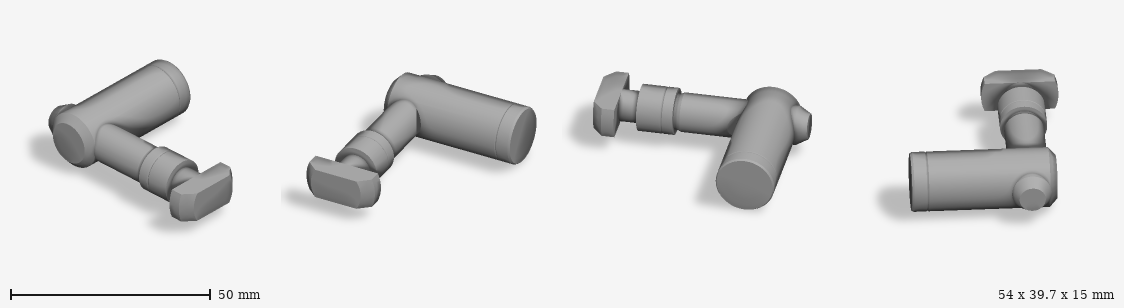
import cadquery as cq


sleeve_radius = 7.5
sleeve_front = -6.6
sleeve_back = 30.0
nose_chamfer_length = 1.9
nose_chamfer_depth = 2.0
back_chamfer_length = 0.55
back_chamfer_depth = 0.3
sleeve_groove_offset = 3.7

groove_width = 0.55
groove_depth = 0.2

pin_length = 54.0
free_end_to_sleeve_axis = 10.25
shank_diameter = 10.0
shank_radius = shank_diameter / 2
tip_radius = 3.3
tip_length = 2.95
shank_end = 32.3
shoulder_end = 33.4
undercut_radius = 4.5
undercut_end = 33.6
collar_root_radius = 4.6
collar_start = 33.95
collar_groove_start = 36.6
collar_end = 43.2
collar_radius = 5.95
neck_radius = 4.05

head_start = 48.1
head_radius = 9.7
head_chamfer = 2.65
head_thickness = 2 * neck_radius

relief_mouth = 9.85
relief_run = 4.4
relief_depth = 2.25


def make_revolved_pin():
    """Round pin body with full-disc head, turned about the X axis."""
    groove_end = collar_groove_start + groove_width
    groove_radius = collar_radius - groove_depth
    profile = [
        (0, 0),
        (0, tip_radius),
        (tip_length, shank_radius),
        (shank_end, shank_radius),
        (shoulder_end, undercut_radius),
        (undercut_end, undercut_radius),
        (collar_start, collar_root_radius),
        (collar_start, collar_radius),
        (collar_groove_start, collar_radius),
        (collar_groove_start + groove_width / 2, groove_radius),
        (groove_end, collar_radius),
        (collar_end, collar_radius),
        (collar_end, neck_radius),
        (head_start, neck_radius),
        (head_start, head_radius),
        (pin_length - head_chamfer, head_radius),
        (pin_length, head_radius - head_chamfer),
        (pin_length, 0),
    ]
    turned = cq.Workplane("XY").polyline(profile).close().revolve(360, (0, 0, 0), (1, 0, 0))
    return turned.translate((-free_end_to_sleeve_axis, 0, 0))


def flatten_head(pin):
    """Trim the disc head to a tee by two flats, leaving the rest of the pin round."""
    head_length = pin_length - head_start
    head_centre = head_start + head_length / 2 - free_end_to_sleeve_axis
    head_diameter = 2 * head_radius
    disc_space = cq.Workplane("XY").box(head_length, head_diameter, head_diameter)
    kept_slab = cq.Workplane("XY").box(head_length, head_diameter, head_thickness)
    return pin.cut(disc_space.cut(kept_slab).translate((head_centre, 0, 0)))


def make_relief():
    """Wedge that slopes down into the shank towards the sleeve axis."""
    deep_x = relief_mouth - relief_run
    wedge = cq.Workplane("XY").polyline([
        (relief_mouth, shank_radius),
        (deep_x, shank_radius),
        (deep_x, shank_radius - relief_depth),
    ]).close()
    return wedge.extrude(shank_radius, both=True)


def make_pin():
    return flatten_head(make_revolved_pin()).cut(make_relief())


def make_sleeve():
    """Cylinder along Y with a chamfered nose, a V groove near the back and a cross hole for the pin."""
    groove_back = sleeve_back - sleeve_groove_offset
    groove_front = groove_back - groove_width
    groove_radius = sleeve_radius - groove_depth
    profile = [
        (0, sleeve_front),
        (sleeve_radius - nose_chamfer_depth, sleeve_front),
        (sleeve_radius, sleeve_front + nose_chamfer_length),
        (sleeve_radius, groove_front),
        (groove_radius, (groove_front + groove_back) / 2),
        (sleeve_radius, groove_back),
        (sleeve_radius, sleeve_back - back_chamfer_length),
        (sleeve_radius - back_chamfer_depth, sleeve_back),
        (0, sleeve_back),
    ]
    turned = cq.Workplane("XY").polyline(profile).close().revolve(360, (0, 0, 0), (0, 1, 0))
    cross_hole = cq.Workplane("YZ").circle(shank_radius).extrude(sleeve_radius, both=True)
    return turned.cut(cross_hole)


sleeve = make_sleeve()
pin = make_pin()

result = cq.Compound.makeCompound([sleeve.val(), pin.val()])